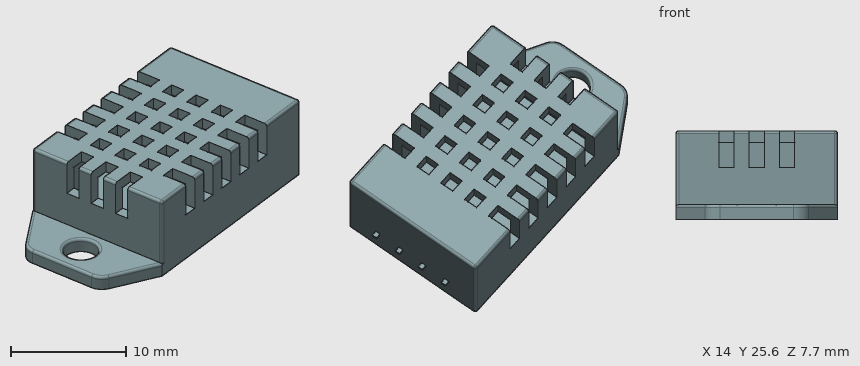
import cadquery as cq
import math

width = 14.0
height = 7.7
total_length = 25.6

wall = 1.02
edge_radius = 0.25
pin_length = 0.49
tab_length = 5.1
case_length = total_length - tab_length - pin_length

tab_thickness = 1.3
tab_side_angle = 60.0
tab_corner_radius = 1.5
tab_overlap = 0.5
screw_hole_diameter = 3.1
screw_hole_to_tip = 2.75

vent_size = 1.3
vent_pitch_x = 2.64
vent_pitch_y = 2.6
side_row_count = 5
front_row_y = 1.48
vent_depth = 3.17

pin_count = 4
pin_pitch = 2.53
pin_width = 0.49
pin_thickness = 0.18
pin_height = 2.15


def block(x_range, y_range, z_range):
    """Axis-aligned box between the given limits."""
    spans = [high - low for low, high in (x_range, y_range, z_range)]
    corner = (x_range[0], y_range[0], z_range[0])
    return cq.Workplane("XY").box(*spans, centered=False).translate(corner)


def make_case():
    """Solid case block with rounded upright and top edges."""
    case = block((-width / 2, width / 2), (0, case_length), (0, height))
    return case.edges("|Z or >Z").fillet(edge_radius)


def make_tab():
    """Tapered mounting tab that runs a little way into the case."""
    tip_half_width = width / 2 - tab_length / math.tan(math.radians(tab_side_angle))
    outline = [
        (-width / 2, tab_overlap),
        (-width / 2, 0),
        (-tip_half_width, -tab_length),
        (tip_half_width, -tab_length),
        (width / 2, 0),
        (width / 2, tab_overlap),
    ]
    tab = cq.Workplane("XY").polyline(outline).close().extrude(tab_thickness)
    tab = tab.edges("|Z and <Y").fillet(tab_corner_radius)
    hole_y = screw_hole_to_tip - tab_length
    hole = cq.Workplane("XY").center(0, hole_y).circle(screw_hole_diameter / 2).extrude(tab_thickness)
    tab = tab.cut(hole)
    ahead_of_case = cq.selectors.BoxSelector((-width, -total_length, 0), (width, 0, height))
    return tab.faces(">Z").edges(ahead_of_case).fillet(edge_radius)


def make_chamber():
    """Air chamber that leaves the case with an even wall on all sides."""
    inner_half_width = width / 2 - wall
    return block(
        (-inner_half_width, inner_half_width),
        (wall, case_length - wall),
        (wall, height - wall),
    )


def cut_vents(body):
    """Vent grid: the front row and the outer columns run out through the case faces."""
    z_range = (height - vent_depth, height)
    half = vent_size / 2
    inner_columns = [-vent_pitch_x, 0, vent_pitch_x]
    side_inner_x = 2 * vent_pitch_x - half
    for x in inner_columns:
        body = body.cut(block((x - half, x + half), (-edge_radius, front_row_y + half), z_range))
    for row in range(1, side_row_count + 1):
        y = front_row_y + row * vent_pitch_y
        y_range = (y - half, y + half)
        for x in inner_columns:
            body = body.cut(block((x - half, x + half), y_range, z_range))
        body = body.cut(block((-width, -side_inner_x), y_range, z_range))
        body = body.cut(block((side_inner_x, width), y_range, z_range))
    return body


def make_pins():
    """Row of flat contact pins, running through the back wall."""
    y_range = (case_length - wall, case_length + pin_length)
    z_range = (pin_height - pin_thickness / 2, pin_height + pin_thickness / 2)
    first_x = -(pin_count - 1) / 2 * pin_pitch
    pins = cq.Workplane("XY")
    for i in range(pin_count):
        x = first_x + i * pin_pitch
        pins.add(block((x - pin_width / 2, x + pin_width / 2), y_range, z_range))
    return pins.combine()


body = make_case().union(make_tab()).cut(make_chamber())
result = cut_vents(body).union(make_pins())